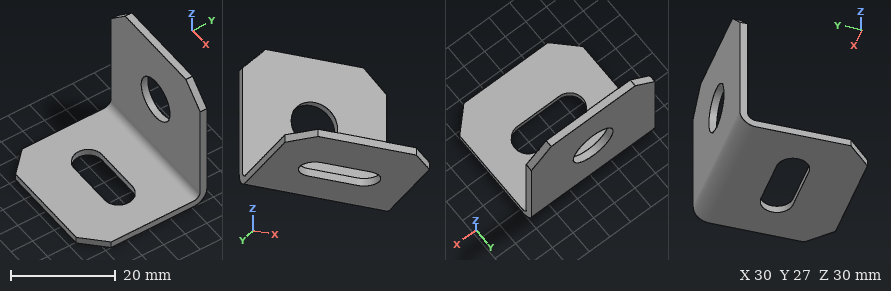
import cadquery as cq

width = 30.0
depth = 27.0
height = 30.0
thickness = 1.6
inner_bend_radius = 1.6
outer_bend_radius = inner_bend_radius + thickness
corner_chamfer = 4.8

hole_diameter = 9.6
hole_height = 15.85

slot_length = 16.5
slot_width = 6.35
slot_from_back = 13.68


def bent_plate():
    """L-shaped plate centred on X, its back at Y = 0 and its underside at Z = 0."""
    outline = (
        cq.Workplane("YZ")
        .moveTo(0, 0)
        .lineTo(0, height)
        .lineTo(-thickness, height)
        .lineTo(-thickness, thickness)
        .lineTo(-depth, thickness)
        .lineTo(-depth, 0)
        .close()
    )
    plate = outline.extrude(width / 2, both=True)
    inner_corner = cq.selectors.NearestToPointSelector((0, -thickness, thickness))
    outer_corner = cq.selectors.NearestToPointSelector((0, 0, 0))
    plate = plate.edges(inner_corner).fillet(inner_bend_radius)
    return plate.edges(outer_corner).fillet(outer_bend_radius)


def chamfer_free_corners(plate):
    """Cut the two free corners of each leg at 45 degrees."""
    plate = plate.faces(">Z").edges("|Y").chamfer(corner_chamfer)
    return plate.faces("<Y").edges("|Z").chamfer(corner_chamfer)


def upright_hole():
    return (
        cq.Workplane("XZ")
        .center(0, hole_height)
        .circle(hole_diameter / 2)
        .extrude(thickness)
    )


def base_slot():
    return (
        cq.Workplane("XY")
        .center(0, -slot_from_back)
        .slot2D(slot_length, slot_width)
        .extrude(thickness)
    )


result = chamfer_free_corners(bent_plate()).cut(upright_hole()).cut(base_slot())